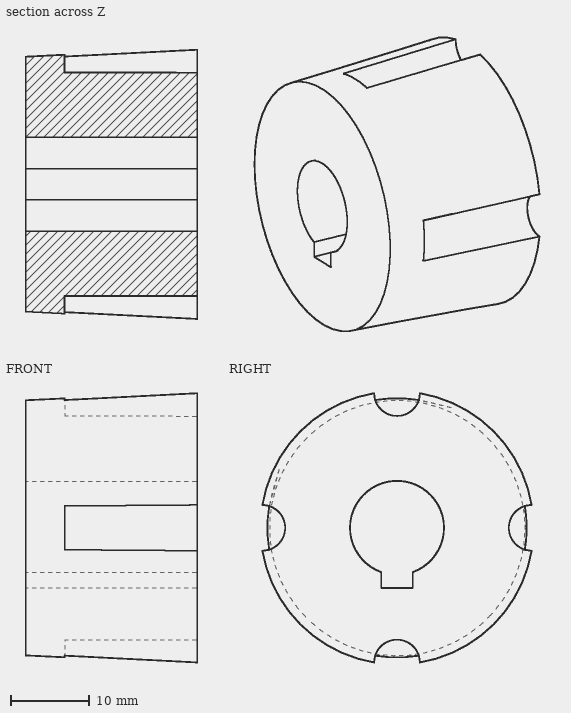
import cadquery as cq
import math

length = 22.0
overall_width = 34.5
small_radius = 16.35
bore_radius = 6.0

slot_count = 4
slot_radius = 2.93
slot_start = 5.0
slot_axis_offset = overall_width / 2

large_radius = math.hypot(overall_width / 2, slot_radius)

key_width = 4.0
key_bottom = 7.7


def cylinder_along_x(radius, start, end, z=0):
    return (
        cq.Workplane("YZ", origin=(start, 0, z))
        .circle(radius)
        .extrude(end - start)
    )


def tapered_body():
    profile = [(0, 0), (0, small_radius), (length, large_radius), (length, 0)]
    return (
        cq.Workplane("XY")
        .polyline(profile)
        .close()
        .revolve(360, (0, 0), (1, 0))
    )


def keyway():
    return (
        cq.Workplane("XY")
        .box(length, key_width, key_bottom, centered=(False, True, False))
        .translate((0, 0, -key_bottom))
    )


result = tapered_body().cut(cylinder_along_x(bore_radius, 0, length)).cut(keyway())

slot = cylinder_along_x(slot_radius, slot_start, length, slot_axis_offset)
for index in range(slot_count):
    angle = index * 360 / slot_count
    result = result.cut(slot.rotate((0, 0, 0), (1, 0, 0), angle))